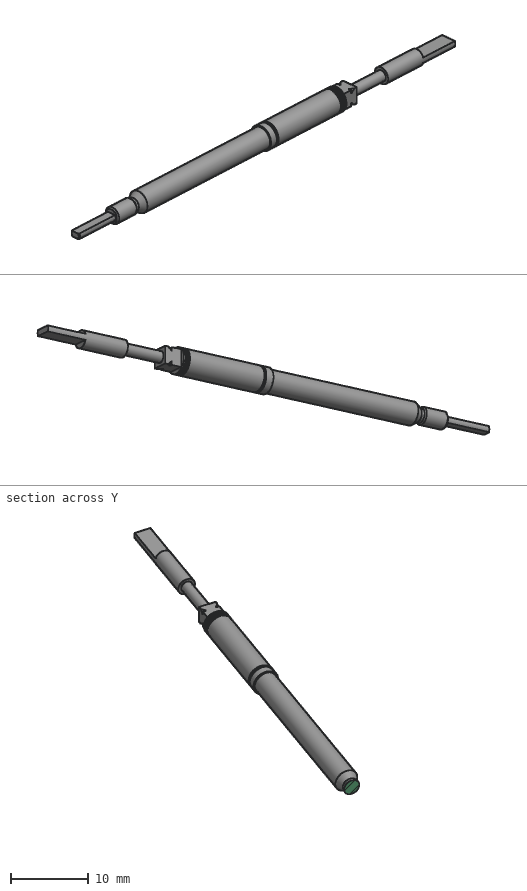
import cadquery as cq
import math

length = 69.5
tail_tip = length / 2

tail_flat_end = 5.9
shank_end = 12.5
block_start = 18.35
collar_start = 20.85
collar_end = 21.1
edge_ring_start = 21.4
edge_ring_end = 21.55
sleeve_start = 21.8
sleeve_end = 34.9
barrel_end = 57.7
cone_end = 58.65
head_start = 59.1
head_end = 62.75

tail_diameter = 2.4
blade_thickness = 0.8
rod_diameter = 1.6
block_side = tail_diameter
sleeve_diameter = 3.6
collar_groove_diameter = 2.9
sleeve_groove_diameter = 3.35
barrel_diameter = 3.2
head_diameter = tail_diameter
neck_diameter = 2.0
head_chamfer = 0.2
tip_diameter = 1.5
tip_chamfer = 0.15

notch_start = 18.75
notch_bottom = 19.3
notch_end = 19.4
notch_diameter = 2.85

scribe_start = 33.5
scribe_end = 33.8
scribe_diameter = 3.5


def cylinder(start, end, diameter):
    """Cylinder on the pin axis between two stations."""
    plane = cq.Workplane("XZ", origin=(0, tail_tip - start, 0))
    return plane.circle(diameter / 2).extrude(end - start)


def flat_bar(start, end, width, height):
    """Rectangular bar on the pin axis between two stations."""
    plane = cq.Workplane("XZ", origin=(0, tail_tip - start, 0))
    return plane.rect(width, height).extrude(end - start)


def turned(points):
    """Solid of revolution about the pin axis from (radius, station) points."""
    outline = [(radius, tail_tip - station) for radius, station in points]
    return cq.Workplane("XY").polyline(outline).close().revolve(360, (0, 0, 0), (0, 1, 0))


def flatten(bar, start, end, width):
    """Cut two parallel flats facing +Z and -Z on a round bar."""
    return bar.intersect(flat_bar(start, end, width, blade_thickness))


def sleeve_groove(start, end, floor_diameter):
    """Ring of material to remove for a square groove around the sleeve."""
    return cylinder(start, end, sleeve_diameter).cut(cylinder(start, end, floor_diameter))


def make_tail():
    blade = flatten(cylinder(0, tail_flat_end, tail_diameter), 0, tail_flat_end, tail_diameter)
    shank = cylinder(tail_flat_end, shank_end, tail_diameter)
    rod = cylinder(shank_end, block_start, rod_diameter)
    return blade.union(shank).union(rod)


def make_block():
    block = flat_bar(block_start, collar_start, block_side, block_side)
    notch_radius = notch_diameter / 2
    corner_radius = block_side / math.sqrt(2)
    cutter_radius = block_side
    slope = (notch_bottom - notch_start) / (corner_radius - notch_radius)
    outer_start = notch_bottom - slope * (cutter_radius - notch_radius)
    notch = turned([(notch_radius, notch_bottom), (cutter_radius, outer_start),
                    (cutter_radius, notch_end), (notch_radius, notch_end)])
    return block.cut(notch)


def make_sleeve():
    sleeve = cylinder(collar_start, sleeve_end, sleeve_diameter)
    for start, end, floor_diameter in (
        (collar_end, edge_ring_start, collar_groove_diameter),
        (edge_ring_end, sleeve_start, sleeve_groove_diameter),
        (scribe_start, scribe_end, scribe_diameter),
    ):
        sleeve = sleeve.cut(sleeve_groove(start, end, floor_diameter))
    return sleeve


def make_head():
    barrel = cylinder(sleeve_end, barrel_end, barrel_diameter)
    cone = turned([(0, barrel_end), (barrel_diameter / 2, barrel_end),
                   (neck_diameter / 2, cone_end), (0, cone_end)])
    neck = cylinder(cone_end, head_start, neck_diameter)
    head = cylinder(head_start, head_end, head_diameter).faces("<Y or >Y").chamfer(head_chamfer)
    tip = cylinder(head_end, length, tip_diameter).faces("<Y").chamfer(tip_chamfer)
    tip = flatten(tip, head_end, length, tip_diameter)
    return barrel.union(cone).union(neck).union(head).union(tip)


result = make_tail().union(make_block()).union(make_sleeve()).union(make_head())